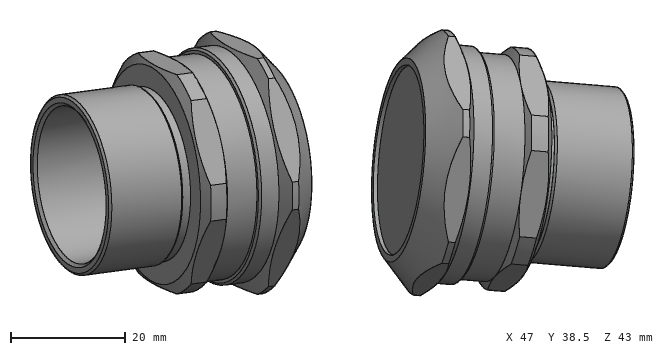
import cadquery as cq
import math

total_length = 38.52
edge_break = 0.4

spigot_diameter = 32.0
spigot_length = 14.45
neck_diameter = 31.0
bore_diameter = 28.0
bore_depth = 14.0
mouth_diameter = 29.15

body_hex_start = 16.0
body_diameter = 40.0
body_hex_flats = body_diameter
body_hex_corners = 42.9
body_hex_face_diameter = 39.0
hex_bevel = math.tan(math.radians(30))
body_hex_land_end = 20.2

collar_start = 26.8
collar_diameter = 42.0
collar_end = 30.6
cap_hex_flats = 43.0
cap_hex_corners = 47.0
cap_land_end = 33.25
cap_rim_diameter = 35.9
recess_diameter = 33.5
recess_depth = 0.75


def revolve_profile(points):
    """Revolve (radius, y) points, closed along the axis, about Y."""
    outline = [(0, points[0][1])] + points + [(0, points[-1][1])]
    return cq.Workplane("XY").polyline(outline).close().revolve(360, (0, 0, 0), (0, 1, 0))


def cylinder(diameter, start, end):
    return revolve_profile([(diameter / 2, start), (diameter / 2, end)])


def hex_prism(across_flats, start, end):
    """Hexagon along Y with corners on the X axis."""
    corner_diameter = across_flats / math.cos(math.pi / 6)
    base = cq.Workplane("XZ", origin=(0, start, 0))
    return base.polygon(6, corner_diameter).extrude(start - end)


def make_spigot():
    outer = spigot_diameter / 2
    spigot = revolve_profile([
        (outer - edge_break, 0),
        (outer, edge_break),
        (outer, spigot_length - edge_break),
        (outer - edge_break, spigot_length),
    ])
    return spigot.union(cylinder(neck_diameter, spigot_length, body_hex_start))


def make_body():
    corner = body_hex_corners / 2
    face = body_hex_face_diameter / 2
    flank = body_diameter / 2
    land_start = body_hex_start + (corner - face) * hex_bevel
    back = body_hex_land_end + (corner - flank) * hex_bevel
    envelope = revolve_profile([
        (face, body_hex_start),
        (corner, land_start),
        (corner, body_hex_land_end),
        (flank, back),
    ])
    hexagon = hex_prism(body_hex_flats, body_hex_start, back).intersect(envelope)
    return hexagon.union(cylinder(body_diameter, back, collar_start))


def make_cap():
    collar = collar_diameter / 2
    corner = cap_hex_corners / 2
    collar_solid = revolve_profile([
        (collar - edge_break, collar_start),
        (collar, collar_start + edge_break),
        (collar, collar_end),
    ])
    envelope = revolve_profile([
        (collar, collar_end),
        (corner, collar_end + (corner - collar) * hex_bevel),
        (corner, cap_land_end),
        (cap_rim_diameter / 2, total_length),
    ])
    hexagon = hex_prism(cap_hex_flats, collar_end, total_length).intersect(envelope)
    return collar_solid.union(hexagon)


def make_bore():
    bore = bore_diameter / 2
    mouth = mouth_diameter / 2
    return revolve_profile([
        (mouth, 0),
        (bore, mouth - bore),
        (bore, bore_depth),
    ])


back_recess = cylinder(recess_diameter, total_length - recess_depth, total_length)

result = make_spigot().union(make_body()).union(make_cap()).cut(make_bore()).cut(back_recess)